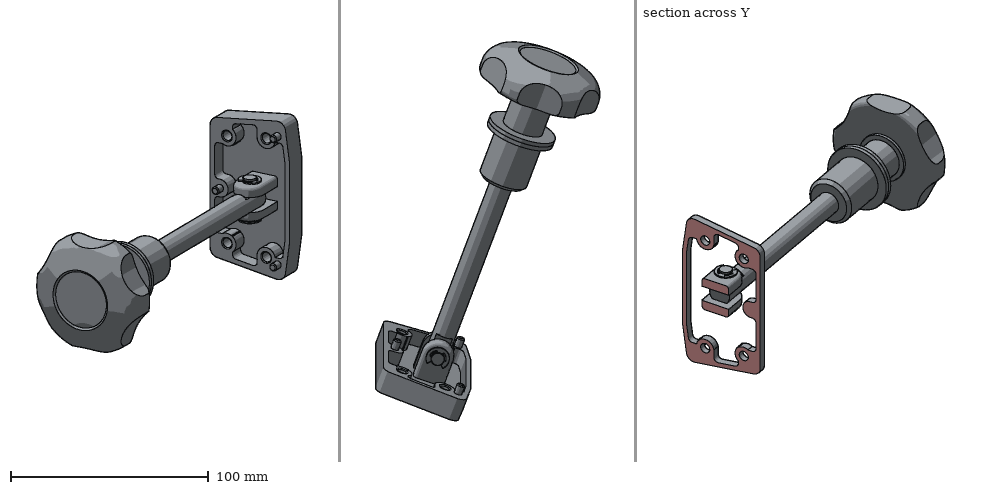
import cadquery as cq
import math


plate_depth = 12.0
plate_left = -27.0
plate_right = 20.0
plate_left_half_height = 37.4
plate_right_half_height = 21.3
plate_tilt = math.radians(8)
plate_corner_radius = 4.8

pocket_depth = 8.0
pocket_wall = 2.8
pocket_corner_radius = 2.2

hole_radius = 2.5
hole_chamfer = 0.5
hole_boss_radius = 5.4
left_hole = (-17.0, 29.0)
right_hole = (6.1, 32.2)
left_web_side = -13.7
left_web_bottom = 24.5
right_web_bottom = 31.3

peg_radius = 2.0
peg_length = 5.0
peg_chamfer = 0.5
side_peg = (-21.0, 0)
corner_peg = (13, 34.8)
side_peg_boss_radius = 4.8

pivot_y = -18.0
lug_radius = 8.1
lug_gap = 8.1
lug_thickness = 5.4
lug_edge_radius = 2.0

pin_radius = 3.3
pin_length = 24
groove_radius = 2.4
clip_thickness = 0.7
clip_offset = 10.5
clip_radius = 6.0
clip_pocket_radius = 4.3
clip_mouth_angle = 45
clip_pocket_angle = 65

rod_radius = 6.0
rod_tip_y = -plate_depth
tongue_shoulder_y = -28.1
tongue_thickness = lug_gap
rod_end_y = -175.8

collar_start_y = -115.0
collar_radius = 12.5
collar_chamfer = 1.8
flange_start_y = -141.7
flange_mid_y = -144.0
flange_end_y = -146.0
flange_radius = 17.5

neck_radius = 10.5
hub_start_y = -165.0
hub_radius = 13.1
head_back_y = -166.7
head_front_y = -185
head_radius = 31.5
head_back_round = 2.8
rim_front_y = -172.5
rim_round = 10.0
dome_edge_radius = 24.8
cap_rim_radius = 16.1
cap_rim_y = -184.6
cap_radius = 15.0
cap_edge_y = -183.9
scallop_count = 6
scallop_floor = 27.2
scallop_radius = 30.5


def y_cylinder(radius, start, end):
    """Cylinder on the Y axis between two Y positions."""
    return cq.Workplane("XZ", origin=(0, start, 0)).circle(radius).extrude(start - end)


def front_cylinder(point, radius, start, end):
    """Cylinder parallel to Y through the (X, Z) point."""
    return y_cylinder(radius, start, end).translate((point[0], 0, point[1]))


def mirrored(point):
    """The (X, Z) point reflected to the other side of Z = 0."""
    return (point[0], -point[1])


def plate_prism(start, end, inset):
    """Plate outline, moved inward by the inset, between two Y positions."""
    slope = math.tan(plate_tilt)
    width = plate_right - plate_left
    rise = plate_left_half_height - plate_right_half_height + width * slope
    corner_x = plate_right - rise * slope / (1 + slope**2)
    corner_z = plate_left_half_height + (corner_x - plate_left) * slope
    upper = [
        (plate_left, plate_left_half_height),
        (corner_x, corner_z),
        (plate_right, plate_right_half_height),
    ]
    lower = [mirrored(point) for point in reversed(upper)]
    outline = cq.Workplane("XZ", origin=(0, start, 0)).polyline(upper + lower).close()
    if inset:
        outline = outline.offset2D(-inset)
    return outline.extrude(start - end)


def block(left, right, bottom, top, start, end):
    """Box between X limits, Z limits and two Y positions."""
    return cq.Workplane("XY").box(
        right - left, start - end, top - bottom, centered=False
    ).translate((left, end, bottom))


def make_pocket():
    """Pocket volume: the inset outline less the bosses and the webs that join them to the wall."""
    floor = pocket_depth - plate_depth
    face = -plate_depth
    pocket = plate_prism(floor, face, pocket_wall)
    far = 2 * plate_left_half_height
    webs = [
        block(-far, left_web_side, left_web_bottom, far, floor, face),
        block(right_hole[0] - hole_boss_radius, far, right_web_bottom, far, floor, face),
    ]
    for web in webs:
        pocket = pocket.cut(web).cut(web.mirror("XY"))
    for hole in (left_hole, right_hole):
        for point in (hole, mirrored(hole)):
            pocket = pocket.cut(front_cylinder(point, hole_boss_radius, floor, face))
    side_web = block(-far, side_peg[0], -side_peg_boss_radius, side_peg_boss_radius, floor, face)
    pocket = pocket.cut(side_web)
    pocket = pocket.cut(front_cylinder(side_peg, side_peg_boss_radius, floor, face))
    core = plate_prism(floor, face, pocket_wall + pocket_corner_radius / 2).val()
    corners = pocket.edges("|Y").edges("not >X").filter(lambda edge: not core.isInside(edge.Center()))
    return pocket.newObject(corners.vals()).fillet(pocket_corner_radius)


def make_lug():
    """Upper clevis lug with a rounded outer edge and the pin hole."""
    floor = pocket_depth - plate_depth
    lug = (
        cq.Workplane("XY", origin=(0, 0, lug_gap / 2))
        .moveTo(-lug_radius, floor)
        .lineTo(-lug_radius, pivot_y)
        .threePointArc((0, pivot_y - lug_radius), (lug_radius, pivot_y))
        .lineTo(lug_radius, floor)
        .close()
        .extrude(lug_thickness)
    )
    rounded = lug.faces(">Z").edges("not >Y").fillet(lug_edge_radius)
    hole = cq.Workplane("XY").center(0, pivot_y).circle(pin_radius).extrude(pin_length)
    return rounded.cut(hole)


def make_peg(point):
    peg = front_cylinder(point, peg_radius, -plate_depth, -plate_depth - peg_length)
    return peg.faces("<Y").chamfer(peg_chamfer)


def make_screw_hole(point):
    """Through hole with a chamfered mouth on the front face."""
    mouth = (
        cq.Workplane("XZ", origin=(point[0], -plate_depth, point[1]))
        .circle(hole_radius + hole_chamfer)
        .workplane(offset=-hole_chamfer)
        .circle(hole_radius)
        .loft()
    )
    return front_cylinder(point, hole_radius, 0, -plate_depth).union(mouth)


def make_base():
    base = plate_prism(0, -plate_depth, 0)
    base = base.edges("|Y").edges(">Z or <Z or <X").fillet(plate_corner_radius)
    base = base.cut(make_pocket())
    lug = make_lug()
    base = base.union(lug).union(lug.mirror("XY"))
    for point in (side_peg, corner_peg, mirrored(corner_peg)):
        base = base.union(make_peg(point))
    for hole in (left_hole, right_hole):
        for point in (hole, mirrored(hole)):
            base = base.cut(make_screw_hole(point))
    return base


def make_pin():
    """Pivot pin with a groove for a clip near each end."""
    pin = cq.Workplane("XY", origin=(0, pivot_y, -pin_length / 2)).circle(pin_radius).extrude(pin_length)
    for height in (-clip_offset, clip_offset):
        groove = (
            cq.Workplane("XY", origin=(0, pivot_y, height - clip_thickness / 2))
            .circle(clip_radius)
            .circle(groove_radius)
            .extrude(clip_thickness)
        )
        pin = pin.cut(groove)
    return pin


def polar(radius, degrees):
    """Plane coordinates of a point at a radius and an angle."""
    angle = math.radians(degrees)
    return (radius * math.cos(angle), radius * math.sin(angle))


def clip_sector(radius, start, end):
    """Slab shaped as a circle sector between two angles in degrees."""
    return (
        cq.Workplane("XY")
        .lineTo(*polar(radius, start))
        .threePointArc(polar(radius, (start + end) / 2), polar(radius, end))
        .close()
        .extrude(clip_thickness)
    )


def make_clip(height, mouth_turn):
    """E-shaped clip: an open ring that grips the pin groove with three fingers."""
    clip = cq.Workplane("XY").circle(clip_radius).circle(groove_radius).extrude(clip_thickness)
    clip = clip.cut(clip_sector(2 * clip_radius, -90 - clip_mouth_angle, -90 + clip_mouth_angle))
    for start in (0, 180 - clip_pocket_angle):
        clip = clip.cut(clip_sector(clip_pocket_radius, start, start + clip_pocket_angle))
    clip = clip.rotate((0, 0, 0), (0, 0, 1), mouth_turn)
    return clip.translate((0, pivot_y, height - clip_thickness / 2))


def make_rod():
    """Round rod with a flat tongue that fits between the lugs."""
    rod = y_cylinder(rod_radius, rod_tip_y, rod_end_y)
    for bottom in (tongue_thickness / 2, -tongue_thickness / 2 - rod_radius):
        flat = block(-rod_radius, rod_radius, bottom, bottom + rod_radius, rod_tip_y, tongue_shoulder_y)
        rod = rod.cut(flat)
    hole = cq.Workplane("XY").center(0, pivot_y).circle(pin_radius).extrude(rod_radius, both=True)
    return rod.cut(hole)


def make_collar():
    """Sleeve on the rod with a flange that meets the knob flange."""
    collar = y_cylinder(collar_radius, collar_start_y, flange_start_y).faces(">Y").chamfer(collar_chamfer)
    collar = collar.union(y_cylinder(flange_radius, flange_start_y, flange_mid_y))
    return collar.cut(y_cylinder(rod_radius, collar_start_y, flange_mid_y))


def make_knob():
    """Turned knob with a flanged neck, a domed front, a recessed cap face and scalloped grips."""
    rim_center_radius = head_radius - rim_round
    dome_cos = (dome_edge_radius - rim_center_radius) / rim_round
    dome_sin = math.sqrt(1 - dome_cos**2)
    dome_edge = (rim_front_y - rim_round * dome_sin, dome_edge_radius)
    half_angle = math.acos(dome_cos) / 2
    rim_mid = (
        rim_front_y - rim_round * math.sin(half_angle),
        rim_center_radius + rim_round * math.cos(half_angle),
    )
    cap_bulge = cap_edge_y - head_front_y
    cap_sphere_radius = (cap_radius**2 + cap_bulge**2) / (2 * cap_bulge)
    cap_mid_radius = cap_radius / 2
    cap_mid_drop = cap_sphere_radius - math.sqrt(cap_sphere_radius**2 - cap_mid_radius**2)
    cap_mid = (head_front_y + cap_mid_drop, cap_mid_radius)
    profile = (
        cq.Workplane("YZ")
        .moveTo(flange_mid_y, 0)
        .lineTo(flange_mid_y, flange_radius)
        .lineTo(flange_end_y, flange_radius)
        .lineTo(flange_end_y, neck_radius)
        .lineTo(hub_start_y, neck_radius)
        .lineTo(hub_start_y, hub_radius)
        .lineTo(head_back_y, hub_radius)
        .lineTo(head_back_y, head_radius - head_back_round)
        .radiusArc((head_back_y - head_back_round, head_radius), -head_back_round)
        .lineTo(rim_front_y, head_radius)
        .threePointArc(rim_mid, dome_edge)
        .tangentArcPoint((cap_rim_y, cap_rim_radius), relative=False)
        .lineTo(cap_edge_y, cap_radius)
        .threePointArc(cap_mid, (head_front_y, 0))
        .close()
    )
    knob = profile.revolve(360, (0, 0, 0), (1, 0, 0))
    for index in range(scallop_count):
        angle = 360 / scallop_count * (index + 0.5)
        center = polar(scallop_floor + scallop_radius, angle)
        knob = knob.cut(front_cylinder(center, scallop_radius, head_back_y, head_front_y))
    return knob.cut(y_cylinder(rod_radius, flange_mid_y, rod_end_y))


base = make_base()
pin = make_pin()
clips = [make_clip(clip_offset, 0), make_clip(-clip_offset, 180)]
rod = make_rod()
collar = make_collar()
knob = make_knob()

result = cq.Compound.makeCompound(
    [base.val(), pin.val(), *[clip.val() for clip in clips], rod.val(), collar.val(), knob.val()]
)